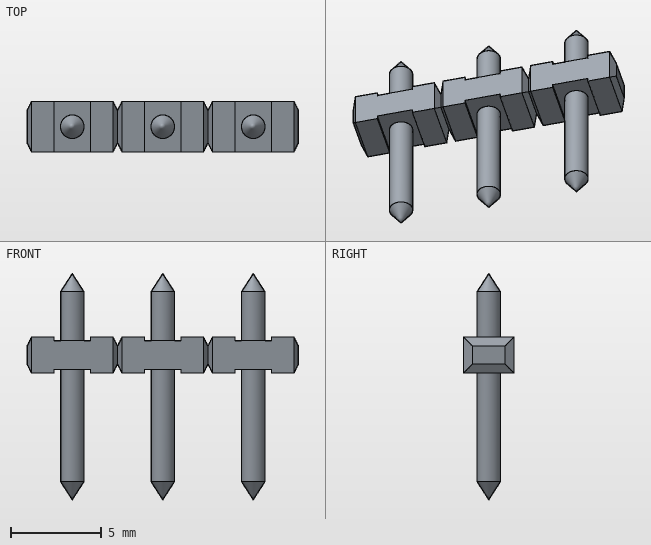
import cadquery as cq


pin_count = 3
pitch = 5.0

block_depth = 2.8
block_height = 2.0
end_taper_length = 0.25
end_taper_inset = 0.5
body_length = pitch - 2 * end_taper_length

recess_width = 2.0
recess_depth = 0.2

pin_diameter = 1.3
pin_radius = pin_diameter / 2
pin_above_block = 3.5
pin_below_block = 7.0
tip_length = 1.0
pin_top = block_height + pin_above_block
pin_bottom = -pin_below_block


def tapered_end(side):
    """Truncated pyramid on one block end; side is +1 or -1 along X."""
    end_plane = cq.Plane(
        origin=(side * body_length / 2, 0, block_height / 2),
        xDir=(0, 1, 0),
        normal=(side, 0, 0),
    )
    return (
        cq.Workplane(end_plane)
        .rect(block_depth, block_height)
        .workplane(offset=end_taper_length)
        .rect(block_depth - 2 * end_taper_inset, block_height - 2 * end_taper_inset)
        .loft(ruled=True, combine=True)
    )


def make_block():
    """One block with tapered ends and a recess on its top and bottom faces."""
    block = cq.Workplane("XY").box(
        body_length, block_depth, block_height, centered=(True, True, False)
    )
    for side in (-1, 1):
        block = block.union(tapered_end(side))

    recess = cq.Workplane("XY").box(
        recess_width, block_depth, recess_depth, centered=(True, True, False)
    )
    for recess_bottom in (0, block_height - recess_depth):
        block = block.cut(recess.translate((0, 0, recess_bottom)))
    return block


def make_pin():
    """Round pin with a conical point at each end, revolved about Z."""
    return (
        cq.Workplane("XZ")
        .moveTo(0, pin_bottom)
        .lineTo(pin_radius, pin_bottom + tip_length)
        .lineTo(pin_radius, pin_top - tip_length)
        .lineTo(0, pin_top)
        .close()
        .revolve(360, (0, 0, 0), (0, 1, 0))
    )


def make_strip():
    """Row of identical blocks with pins, joined at their end faces."""
    unit = make_block().union(make_pin())
    first_x = -pitch * (pin_count - 1) / 2
    strip = unit.translate((first_x, 0, 0))
    for index in range(1, pin_count):
        strip = strip.union(unit.translate((first_x + index * pitch, 0, 0)))
    return strip


result = make_strip()